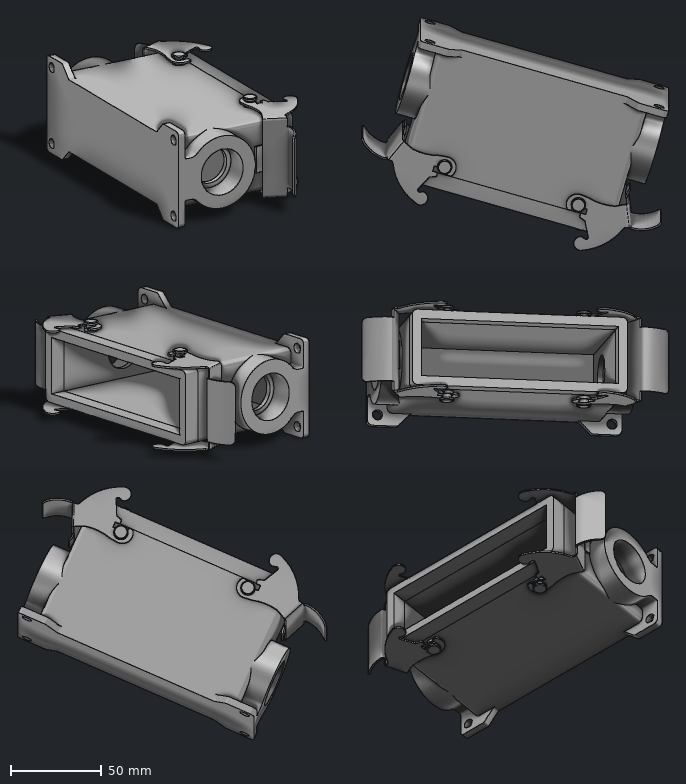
import cadquery as cq
import math

body_length = 121.0
body_depth = 42.7
body_edge_radius = 3.0
housing_height = 70.8
rim_top = 79.8
wall = 5.2
end_x = body_length / 2
face_z = body_depth / 2

plate_length = 143.2
plate_depth = 57.0
plate_thickness = 4.1
plate_waist_depth = body_depth
ear_length = 17.0
ear_corner_radius = 2.8
ear_bend_radius = 1.7
mount_hole_diameter = 5.5
mount_hole_x = 66.0
mount_hole_z = 22.5
plate_end_x = plate_length / 2

entry_y = 28.0
entry_radius = face_z
entry_web_half = 12.3
entry_web_radius = 5.9
web_foot_radius = 1.0
counterbore_diameter = 27.0
counterbore_depth = 13.3
bore_diameter = 21.5

pivot_x = 38.5
pivot_y = 65.5
spacer_diameter = 7.3
neck_diameter = 5.2
head_diameter = 8.0
head_chamfer = 0.5
spacer_height = 1.7
neck_height = 2.2
head_thickness = 1.5

sheet = 1.0
lever_half = face_z + spacer_height + sheet
bend_radius = 2.0
base_top = (-70.3, 70.6)
base_bottom = (-65.0, 57.8)
hook_center = (-46.1, 86.7)
hook_radius = 4.0
lever_hole_diameter = 5.5
lip_y = 70.1
notch_width = 8.3
notch_floor_y = 67.0
handle_center = (-70.8, 51.8)
handle_radius = 20.7
handle_half_width = 18.1
handle_tip_angle = 138.6
handle_tip_radius = 3.1
handle_bend_radius = 1.5
tab_half_width = 7.8


def on_circle(center, radius, angle):
    """Point on a circle, with the angle in degrees."""
    turn = math.radians(angle)
    return center[0] + radius * math.cos(turn), center[1] + radius * math.sin(turn)


def extrude_symmetric(outline, half_width):
    """Extrude a closed XY outline equally to both sides of Z = 0."""
    return outline.extrude(half_width, both=True)


def upright_block(length, depth, bottom, top):
    """Block centred in X and Z that reaches from bottom to top in Y."""
    return cq.Workplane("XY").box(length, top - bottom, depth).translate((0, (bottom + top) / 2, 0))


def rounded_block(bottom, top):
    block = upright_block(body_length, body_depth, bottom, top)
    return block.edges("|Y").fillet(body_edge_radius)


def cavity(bottom, top):
    return upright_block(body_length - 2 * wall, body_depth - 2 * wall, bottom, top)


def make_plate():
    """Plate with a wider ear at each corner and a hole through each ear."""
    ear_end = plate_end_x - ear_length
    ear_z = plate_depth / 2
    waist_z = plate_waist_depth / 2
    waist_end = ear_end - (ear_z - waist_z)
    upper_side = [
        (-plate_end_x, ear_z),
        (-ear_end, ear_z),
        (-waist_end, waist_z),
        (waist_end, waist_z),
        (ear_end, ear_z),
        (plate_end_x, ear_z),
    ]
    lower_side = [(x, -z) for x, z in reversed(upper_side)]
    plate = cq.Workplane("XZ").polyline(upper_side + lower_side).close().extrude(-plate_thickness)
    plate = plate.edges("|Y").edges("not(<X or >X)").fillet(ear_bend_radius)
    plate = plate.edges("|Y").edges("<X or >X").fillet(ear_corner_radius)
    holes = (
        cq.Workplane("XZ")
        .rect(2 * mount_hole_x, 2 * mount_hole_z, forConstruction=True)
        .vertices()
        .circle(mount_hole_diameter / 2)
        .extrude(-plate_thickness)
    )
    return plate.cut(holes)


def make_entries():
    """Round cable entries at both ends, each with a web down to the plate."""
    blend_z = entry_web_half + entry_web_radius
    blend_reach = entry_radius + entry_web_radius
    blend_y = entry_y - math.sqrt(blend_reach**2 - blend_z**2)
    blend_angle = math.degrees(math.atan2(blend_z, blend_y - entry_y))
    blend_start = on_circle((entry_y, 0), entry_radius, blend_angle)
    blend_middle = on_circle((blend_y, blend_z), entry_web_radius, (blend_angle - 180 - 90) / 2)
    foot_center = (plate_thickness + web_foot_radius, entry_web_half + web_foot_radius)
    half_web = (
        cq.Workplane("YZ")
        .moveTo(entry_y, 0)
        .lineTo(*blend_start)
        .threePointArc(blend_middle, (blend_y, entry_web_half))
        .lineTo(foot_center[0], entry_web_half)
        .threePointArc(on_circle(foot_center, web_foot_radius, 225), (plate_thickness, foot_center[1]))
        .lineTo(0, foot_center[1])
        .lineTo(0, 0)
        .close()
        .extrude(plate_end_x, both=True)
    )
    barrel = cq.Workplane("YZ").center(entry_y, 0).circle(entry_radius).extrude(plate_end_x, both=True)
    return barrel.union(half_web).union(half_web.mirror("XY"))


def make_bores():
    """Through bore with a counterbore at each end."""
    axis = cq.Workplane("YZ").center(entry_y, 0)
    bores = axis.circle(bore_diameter / 2).extrude(plate_end_x, both=True)
    counterbores = axis.circle(counterbore_diameter / 2).extrude(plate_end_x, both=True)
    between = upright_block(plate_length - 2 * counterbore_depth, plate_depth, 0, rim_top)
    return bores.union(counterbores.cut(between))


def make_pivot(x, side):
    """Headed pivot on the +Z (side = 1) or -Z (side = -1) face."""
    root_z = face_z - wall / 2
    neck_top = face_z + spacer_height + neck_height
    pivot = cq.Workplane("XY", origin=(0, 0, root_z)).circle(neck_diameter / 2).extrude(neck_top - root_z)
    spacer = cq.Workplane("XY", origin=(0, 0, face_z)).circle(spacer_diameter / 2).extrude(spacer_height)
    head = (
        cq.Workplane("XY", origin=(0, 0, neck_top))
        .circle(head_diameter / 2)
        .extrude(head_thickness)
        .faces(">Z")
        .chamfer(head_chamfer)
    )
    pivot = pivot.union(spacer).union(head)
    if side < 0:
        pivot = pivot.mirror("XY")
    return pivot.translate((x, pivot_y, 0))


def make_housing():
    housing = rounded_block(0, housing_height).union(make_entries()).union(make_plate())
    housing = housing.cut(cavity(wall, housing_height)).cut(make_bores())
    for x in (-pivot_x, pivot_x):
        for side in (1, -1):
            housing = housing.union(make_pivot(x, side))
    return housing


def make_rim_frame():
    return rounded_block(housing_height, rim_top).cut(cavity(housing_height, rim_top))


base_run = math.dist(base_top, base_bottom)
base_down = ((base_bottom[0] - base_top[0]) / base_run, (base_bottom[1] - base_top[1]) / base_run)
base_normal = (-base_down[1], base_down[0])
base_angle = math.degrees(math.atan2(base_normal[1], base_normal[0]))


def make_lever_shell():
    """Inclined base with a hooked cheek bent over at each end."""
    outline = (
        cq.Workplane("XY")
        .moveTo(*base_bottom)
        .lineTo(*base_top)
        .lineTo(-67.2, 71.0)
        .lineTo(-66.3, 72.2)
        .threePointArc((-59.0, 83.0), on_circle(hook_center, hook_radius, 120))
        .threePointArc(on_circle(hook_center, hook_radius, 10), on_circle(hook_center, hook_radius, -80))
        .lineTo(-47.7, 83.5)
        .threePointArc((-48.7, 83.2), (-48.9, 82.0))
        .lineTo(-44.7, 73.7)
        .lineTo(-42.7, 73.0)
        .threePointArc((-41.1, 72.0), (-41.5, lip_y))
        .lineTo(-33.5, lip_y)
        .threePointArc((-32.0, 66.3), (-38.5, 60.1))
        .lineTo(-43.2, 60.6)
        .threePointArc((-51.0, 61.8), (-58.2, 61.1))
        .close()
    )
    shell = extrude_symmetric(outline, lever_half)
    base_edges = cq.selectors.ParallelDirSelector(cq.Vector(*base_down))
    shell = shell.edges(base_edges).fillet(bend_radius)
    base_plane = cq.Plane(origin=base_top, xDir=base_normal, normal=(0, 0, 1))
    inside = (
        cq.Workplane(base_plane)
        .center(sheet + body_length / 2, 0)
        .rect(body_length, body_length)
        .extrude(lever_half - sheet, both=True)
    )
    return shell.cut(inside)


def make_pivot_slots():
    """Pivot hole and the open notch above it, through both cheeks."""
    hole_radius = lever_hole_diameter / 2
    hole = cq.Workplane("XY").center(-pivot_x, pivot_y).circle(hole_radius)
    notch_right = hole_radius - pivot_x
    notch_top = lip_y + 1.7
    notch = (
        cq.Workplane("XY")
        .moveTo(notch_right, pivot_y)
        .lineTo(notch_right, notch_top)
        .lineTo(notch_right - lever_hole_diameter, notch_top)
        .lineTo(notch_right - lever_hole_diameter, lip_y)
        .lineTo(notch_right - notch_width, lip_y)
        .lineTo(notch_right - notch_width, notch_floor_y)
        .lineTo(-pivot_x, notch_floor_y)
        .lineTo(-pivot_x, pivot_y)
        .close()
    )
    return extrude_symmetric(hole, lever_half).union(extrude_symmetric(notch, lever_half))


def make_handle():
    """Curved grip that bends out of the upper end of the base."""
    inner_bend_radius = handle_bend_radius - sheet
    center_distance = handle_radius - handle_bend_radius
    to_base = [base_top[i] - handle_center[i] for i in range(2)]
    base_offset = sum(to_base[i] * base_normal[i] for i in range(2)) - inner_bend_radius
    start_angle = base_angle + math.degrees(math.acos(base_offset / center_distance))
    bend_center = on_circle(handle_center, center_distance, start_angle)
    bend_middle = (start_angle + base_angle) / 2
    grip_middle = (start_angle + handle_tip_angle) / 2
    inner_radius = handle_radius - sheet
    inner_base = on_circle(bend_center, inner_bend_radius, base_angle)
    outer_base = on_circle(bend_center, handle_bend_radius, base_angle)
    base_overlap = 2 * sheet
    outline = (
        cq.Workplane("XY")
        .moveTo(*on_circle(handle_center, handle_radius, handle_tip_angle))
        .threePointArc(
            on_circle(handle_center, handle_radius, grip_middle),
            on_circle(handle_center, handle_radius, start_angle),
        )
        .threePointArc(on_circle(bend_center, handle_bend_radius, bend_middle), outer_base)
        .line(base_overlap * base_down[0], base_overlap * base_down[1])
        .line(-sheet * base_normal[0], -sheet * base_normal[1])
        .lineTo(*inner_base)
        .threePointArc(
            on_circle(bend_center, inner_bend_radius, bend_middle),
            on_circle(handle_center, inner_radius, start_angle),
        )
        .threePointArc(
            on_circle(handle_center, inner_radius, grip_middle),
            on_circle(handle_center, inner_radius, handle_tip_angle),
        )
        .close()
    )
    handle = extrude_symmetric(outline, handle_half_width)
    return handle.faces("<X").edges("not |Z").fillet(handle_tip_radius)


def make_tab():
    """Short tab below the base, with its lip turned outward."""
    outline = (
        cq.Workplane("XY")
        .moveTo(-64.5, 58.4)
        .threePointArc((-64.5, 56.0), (-65.1, 53.9))
        .lineTo(-64.2, 53.2)
        .threePointArc((-63.5, 55.6), (-63.5, 58.5))
        .close()
    )
    return extrude_symmetric(outline, tab_half_width)


def make_left_lever():
    lever = make_lever_shell().cut(make_pivot_slots())
    return lever.union(make_handle()).union(make_tab())


housing = make_housing()
rim_frame = make_rim_frame()
left_lever = make_left_lever()
levers = [left_lever, left_lever.mirror("YZ")]
result = cq.Compound.makeCompound([housing.val(), rim_frame.val(), *[lever.val() for lever in levers]])